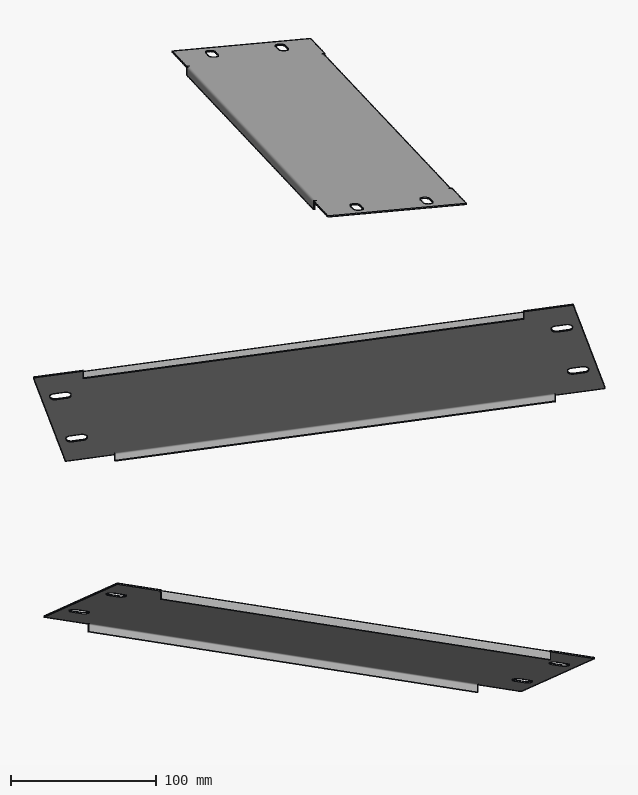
import cadquery as cq

panel_length = 380.0
panel_width = 99.0
overall_height = 6.5
sheet_thickness = 1.0

flange_length = 310.0
inner_bend_radius = 1.0
outer_bend_radius = inner_bend_radius + sheet_thickness

slot_length = 15.0
slot_width = 7.0
slot_spacing_x = 353.0
slot_spacing_y = 50.0

panel_bottom_z = overall_height - sheet_thickness
channel_inner_width = panel_width - 2 * sheet_thickness


def make_rounded_bar(width, height, corner_radius):
    """Bar standing on Z = 0, as long as the flanges, with both upper long edges rounded."""
    return (
        cq.Workplane("XY")
        .rect(flange_length, width)
        .extrude(height)
        .edges("|X and >Z")
        .fillet(corner_radius)
    )


def make_folded_section():
    """Channel of constant sheet thickness, open below, with concentric bend radii."""
    outer = make_rounded_bar(panel_width, overall_height, outer_bend_radius)
    inner = make_rounded_bar(channel_inner_width, panel_bottom_z, inner_bend_radius)
    return outer.cut(inner)


def make_end_tab(side):
    """Flat panel end beyond the flanges; side is -1 or 1 along X."""
    tab_length = (panel_length - flange_length) / 2
    center_x = side * (flange_length + tab_length) / 2
    return (
        cq.Workplane("XY", origin=(center_x, 0, panel_bottom_z))
        .rect(tab_length, panel_width)
        .extrude(sheet_thickness)
    )


def make_slot_cutters():
    """One cutter per mounting slot, passing through the sheet."""
    return (
        cq.Workplane("XY", origin=(0, 0, panel_bottom_z))
        .rarray(slot_spacing_x, slot_spacing_y, 2, 2)
        .slot2D(slot_length, slot_width)
        .extrude(sheet_thickness)
    )


panel = make_folded_section()
for end_side in (-1, 1):
    panel = panel.union(make_end_tab(end_side))

result = panel.cut(make_slot_cutters())